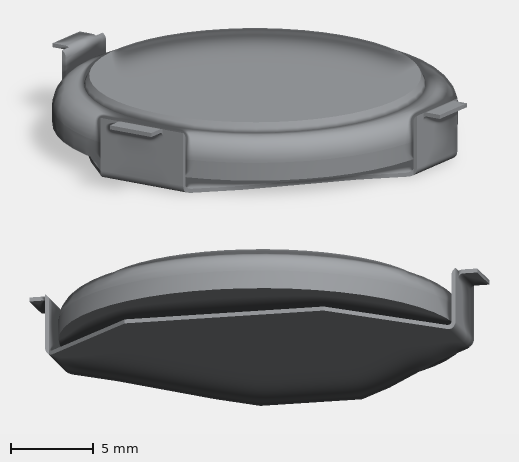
import cadquery as cq

cell_radius = 12.25
cell_bottom = 0.9
cell_rim_radius = 1.35
cell_shoulder = 3.35
cap_top = 3.9
cap_base_radius = 10.32
cap_top_radius = 10.02

sheet = 0.25
bend_inside = 0.25
bend_outside = bend_inside + sheet
contact_height = 3.9
contact_length = 27.9
side_wall_outer = 12.78
side_wall_width = 4.46
side_wall_y = 0.5
front_wall_outer = cell_radius + sheet
front_tip = 13.73
front_wall_width = 5.97
tip_width = 2.99

base_back = 9.07
flare_run = 2.23


def make_cell():
    """Revolved cell with a rounded upper rim and a tapered cap."""
    return (
        cq.Workplane("XZ")
        .moveTo(0, cell_bottom)
        .lineTo(cell_radius, cell_bottom)
        .lineTo(cell_radius, cell_shoulder - cell_rim_radius)
        .radiusArc((cell_radius - cell_rim_radius, cell_shoulder), -cell_rim_radius)
        .lineTo(cap_base_radius, cell_shoulder)
        .lineTo(cap_top_radius, cap_top)
        .lineTo(0, cap_top)
        .close()
        .revolve(360, (0, 0, 0), (0, 1, 0))
    )


def make_arm(wall_outer, tip, wall_width):
    """Bent arm pointing along +X, starting at the bottom bend."""
    wall_inner = wall_outer - sheet
    bend_start = wall_outer - bend_outside
    flange_start = wall_inner + bend_outside
    flange_bottom = contact_height - sheet
    strip = (
        cq.Workplane("XZ")
        .moveTo(bend_start, 0)
        .radiusArc((wall_outer, bend_outside), -bend_outside)
        .lineTo(wall_outer, flange_bottom - bend_inside)
        .radiusArc((flange_start, flange_bottom), bend_inside)
        .lineTo(tip, flange_bottom)
        .lineTo(tip, contact_height)
        .lineTo(flange_start, contact_height)
        .radiusArc((wall_inner, contact_height - bend_outside), -bend_outside)
        .lineTo(wall_inner, bend_outside)
        .radiusArc((bend_start, sheet), bend_inside)
        .close()
        .extrude(wall_width / 2 + bend_inside, both=True)
    )
    bend_half_width = wall_width / 2 + bend_inside
    bend_zone = (
        cq.Workplane("XY")
        .moveTo(bend_start, -bend_half_width)
        .lineTo(wall_inner, -wall_width / 2)
        .lineTo(wall_inner, wall_width / 2)
        .lineTo(bend_start, bend_half_width)
        .close()
        .extrude(contact_height)
    )
    wall_zone = cq.Workplane("XY").box(
        wall_outer, wall_width, contact_height, centered=(False, True, False))
    tip_zone = cq.Workplane("XY").box(
        tip, tip_width, contact_height, centered=(False, True, False))
    return strip.intersect(bend_zone.union(wall_zone).union(tip_zone))


def make_base():
    """Flat plate that flares out from the foot of each arm."""
    side_x = side_wall_outer - bend_outside
    side_half_width = side_wall_width / 2 + bend_inside
    side_back = side_wall_y + side_half_width
    side_front = side_wall_y - side_half_width
    back_x = side_x - (base_back - side_back)
    front_x = front_wall_width / 2 + bend_inside
    front_y = -(front_wall_outer - bend_outside)
    right_edge = [
        (front_x, front_y),
        (front_x + flare_run, front_y + flare_run),
        (side_x - flare_run, side_front - flare_run),
        (side_x, side_front),
        (side_x, side_back),
        (back_x, base_back),
    ]
    left_edge = [(-x, y) for x, y in reversed(right_edge)]
    return cq.Workplane("XY").polyline(right_edge + left_edge).close().extrude(sheet)


def make_contact():
    contact = make_base()
    for turn in (0, 180):
        side_arm = make_arm(side_wall_outer, contact_length / 2, side_wall_width)
        turned_arm = side_arm.rotate((0, 0, 0), (0, 0, 1), turn)
        contact = contact.union(turned_arm.translate((0, side_wall_y, 0)))
    front_arm = make_arm(front_wall_outer, front_tip, front_wall_width)
    return contact.union(front_arm.rotate((0, 0, 0), (0, 0, 1), -90))


cell = make_cell()
contact = make_contact()
result = cq.Compound.makeCompound([cell.val(), contact.val()])